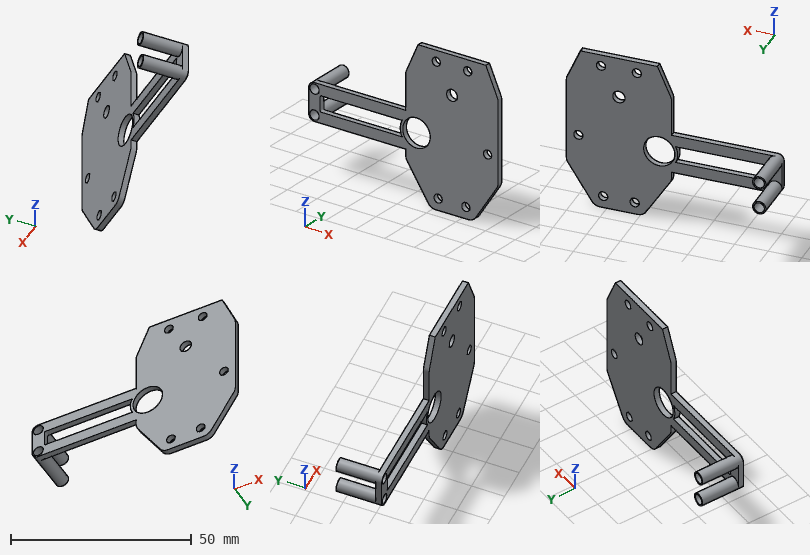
import cadquery as cq

total_length = 64.1
thickness = 1.8
total_depth = 13.8

post_radius = 2.0
post_bore = 3.1
post_offset = 2 * post_radius
arm_half_width = post_offset + post_radius
slot_start = 3.9
slot_half_width = 2.5
slot_corner_radius = 0.45

plate_left = 32.8
plate_center = (plate_left + total_length) / 2
plate_half_width = (total_length - plate_left) / 2
plate_top = 27.2
plate_bottom = -21.75
upper_shoulder = 17.7
lower_shoulder = -8.7
top_half_width = 11.5
bottom_half_width = 7.2
corner_radius = 3.0

bore_center = 36.5
bore_diameter = 9.2
bore_wall_radius = 5.5

screw_diameter = 2.7
top_screw_offset = 5.3
top_screw_height = 23.65
bottom_screw_offset = 4.7
bottom_screw_height = -18.1
side_screw_x = 60.5
center_hole_diameter = 3.6
center_hole_height = 14.8


def cylinder(x, z, diameter, depth):
    """Solid cylinder running back in +Y from the front face."""
    return cq.Workplane("XZ", origin=(x, 0, z)).circle(diameter / 2).extrude(-depth)


def make_plate():
    right_side = [
        (bottom_half_width, plate_bottom),
        (plate_half_width, lower_shoulder),
        (plate_half_width, upper_shoulder),
        (top_half_width, plate_top),
    ]
    left_side = [(-x, z) for x, z in reversed(right_side)]
    plate = (
        cq.Workplane("XZ", origin=(plate_center, 0, 0))
        .polyline(right_side + left_side)
        .close()
        .extrude(-thickness)
    )
    below_top = cq.selectors.BoxSelector(
        (0, -thickness, plate_bottom - 0.65),
        (total_length + 0.65, 2 * thickness, (upper_shoulder + plate_top) / 2),
    )
    return plate.edges("|Y").edges(below_top).fillet(corner_radius)


def make_arm():
    return (
        cq.Workplane("XY")
        .box(bore_center, thickness, 2 * arm_half_width, centered=(False, False, True))
        .edges("|Y and <X")
        .fillet(post_radius)
    )


def make_slot():
    """Slot cutter whose inner end follows the wall around the bore."""
    slot = (
        cq.Workplane("XY", origin=(slot_start, 0, 0))
        .box(bore_center - slot_start, thickness, 2 * slot_half_width, centered=(False, False, True))
        .edges("|Y and <X")
        .fillet(slot_corner_radius)
    )
    return slot.cut(cylinder(bore_center, 0, 2 * bore_wall_radius, thickness))


result = make_plate().union(make_arm()).cut(make_slot())
result = result.cut(cylinder(bore_center, 0, bore_diameter, thickness))

for side in (-1, 1):
    post_height = side * post_offset
    result = result.union(cylinder(post_radius, post_height, 2 * post_radius, total_depth))
    result = result.cut(cylinder(post_radius, post_height, post_bore, total_depth))

plate_holes = [
    (plate_center - top_screw_offset, top_screw_height, screw_diameter),
    (plate_center + top_screw_offset, top_screw_height, screw_diameter),
    (plate_center - bottom_screw_offset, bottom_screw_height, screw_diameter),
    (plate_center + bottom_screw_offset, bottom_screw_height, screw_diameter),
    (side_screw_x, 0, screw_diameter),
    (plate_center, center_hole_height, center_hole_diameter),
]
for hole_x, hole_z, hole_diameter in plate_holes:
    result = result.cut(cylinder(hole_x, hole_z, hole_diameter, thickness))